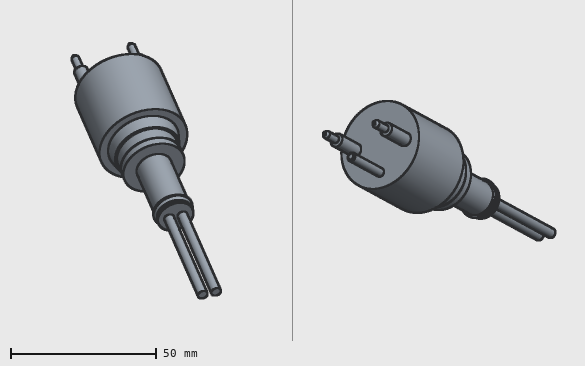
import cadquery as cq

total_length = 126.4

body_diameter = 31.7
body_front = 19.8
body_back = 48.5
taper_front_diameter = 25.5
taper_back_diameter = 23.3
taper_back = 53.1
groove_diameter = 21.9
collar_front = 57.9
collar_back = 61.0
collar_diameter = 22.1
tube_diameter = 12.6
tube_back = 86.6

rim_front = 82.7
rim_crest_front = 83.0
rim_crest_back = 83.5
rim_back = 85.0
rim_diameter = 14.2

lip_length = 0.5
lip_diameter = 12.9

contact_offset = 10.1
contact_diameter = 2.8
contact_back = 7.1
contact_chamfer_length = 1.3
contact_chamfer_depth = 0.8
neck_diameter = 1.0
sleeve_front = 7.7
sleeve_diameter = 4.8

guide_offset = 10.1
guide_front = 0.9
guide_diameter = 3.2
guide_chamfer = 0.5

wire_diameter = 3.5
wire_offset = 2.4


def rod(x_start, x_end, diameter, y=0.0, z=0.0):
    """Cylinder parallel to X."""
    return (
        cq.Workplane("YZ", origin=(x_start, y, z))
        .circle(diameter / 2)
        .extrude(x_end - x_start)
    )


def make_body():
    """Stepped profile revolved about the X axis."""
    tube_radius = tube_diameter / 2
    profile = [
        (body_front, 0),
        (body_front, body_diameter / 2),
        (body_back, body_diameter / 2),
        (body_back, taper_front_diameter / 2),
        (taper_back, taper_back_diameter / 2),
        (taper_back, groove_diameter / 2),
        (collar_front, groove_diameter / 2),
        (collar_front, collar_diameter / 2),
        (collar_back, collar_diameter / 2),
        (collar_back, tube_radius),
        (rim_front, tube_radius),
        (rim_crest_front, rim_diameter / 2),
        (rim_crest_back, rim_diameter / 2),
        (rim_back, tube_radius),
        (tube_back - lip_length, tube_radius),
        (tube_back - lip_length, lip_diameter / 2),
        (tube_back, lip_diameter / 2),
        (tube_back, 0),
    ]
    return cq.Workplane("XY").polyline(profile).close().revolve(360, (0, 0, 0), (1, 0, 0))


def make_contact(y):
    """Chamfered pin joined by a neck to the sleeve on the body face."""
    pin = rod(0, contact_back, contact_diameter, y)
    pin = pin.faces("<X").edges().chamfer(contact_chamfer_length, contact_chamfer_depth)
    neck = rod(contact_back, sleeve_front, neck_diameter, y)
    sleeve = rod(sleeve_front, body_front, sleeve_diameter, y)
    return pin.union(neck).union(sleeve)


def make_guide_pin():
    pin = rod(guide_front, body_front, guide_diameter, z=-guide_offset)
    return pin.faces("<X").edges().chamfer(guide_chamfer)


result = make_body().union(make_guide_pin())
for side in (-1, 1):
    result = result.union(make_contact(side * contact_offset))
    result = result.union(rod(tube_back, total_length, wire_diameter, side * wire_offset))